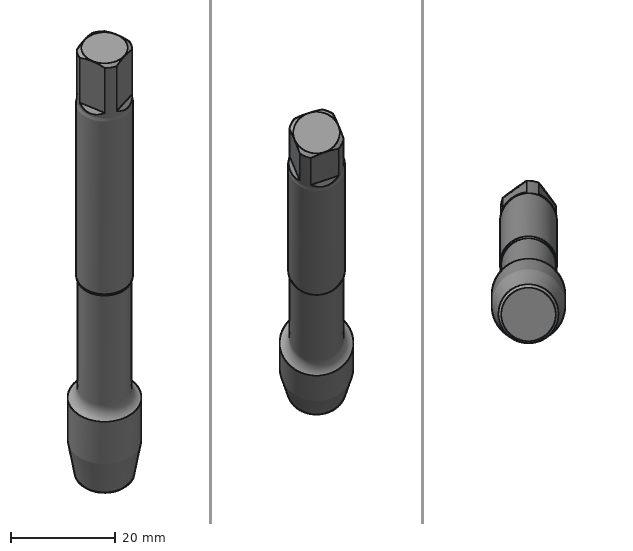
import cadquery as cq
import math

total_length = 110.0

head_diameter = 14.2
head_length = 20.0
taper_length = 9.1
taper_end_diameter = 11.5
tip_diameter = 10.5
tip_chamfer_height = 0.7

neck_diameter = 10.5
shank_diameter = 11.0
shank_bottom = 50.8
step_height = 0.7
neck_fillet_radius = 2.6

drive_diameter = 10.7
drive_length = 13.4
drive_chamfer_height = 0.7
across_flats = 9.0
flat_length = 12.0
top_diameter = 8.9
top_chamfer_height = 0.4

head_radius = head_diameter / 2
neck_radius = neck_diameter / 2
shank_radius = shank_diameter / 2
drive_radius = drive_diameter / 2


def make_head():
    """Revolved cutting head with a conical lead and a chamfered tip."""
    return (
        cq.Workplane("XZ")
        .lineTo(tip_diameter / 2, 0)
        .lineTo(taper_end_diameter / 2, tip_chamfer_height)
        .lineTo(head_radius, taper_length)
        .lineTo(head_radius, head_length)
        .lineTo(0, head_length)
        .close()
        .revolve(360, (0, 0, 0), (0, 1, 0))
    )


def make_round_shank():
    """Revolved shank that flares through a concave arc onto the head."""
    arc_center_radius = neck_radius + neck_fillet_radius
    arc_angle = math.acos((arc_center_radius - head_radius) / neck_fillet_radius)
    flare_top = head_length + neck_fillet_radius * math.sin(arc_angle)
    arc_middle = (
        arc_center_radius - neck_fillet_radius * math.cos(arc_angle / 2),
        flare_top - neck_fillet_radius * math.sin(arc_angle / 2),
    )
    drive_bottom = total_length - drive_length
    return (
        cq.Workplane("XZ")
        .moveTo(0, head_length)
        .lineTo(head_radius, head_length)
        .threePointArc(arc_middle, (neck_radius, flare_top))
        .lineTo(neck_radius, shank_bottom)
        .lineTo(shank_radius, shank_bottom + step_height)
        .lineTo(shank_radius, drive_bottom - drive_chamfer_height)
        .lineTo(drive_radius, drive_bottom)
        .lineTo(drive_radius, total_length - top_chamfer_height)
        .lineTo(top_diameter / 2, total_length)
        .lineTo(0, total_length)
        .close()
        .revolve(360, (0, 0, 0), (0, 1, 0))
    )


def make_flat_cutter():
    """Prism that removes one flat on the +X side, with a 45 degree run-out."""
    flat_distance = across_flats / 2
    flat_bottom = total_length - flat_length
    outside = head_radius
    return (
        cq.Workplane("XZ")
        .moveTo(flat_distance, total_length)
        .lineTo(flat_distance, flat_bottom)
        .lineTo(outside, flat_bottom - (outside - flat_distance))
        .lineTo(outside, total_length)
        .close()
        .extrude(head_radius, both=True)
    )


def make_shank():
    """Round shank with four drive flats cut into its upper end."""
    shank = make_round_shank()
    cutter = make_flat_cutter()
    for angle in (0, 90, 180, 270):
        shank = shank.cut(cutter.rotate((0, 0, 0), (0, 0, 1), angle))
    return shank


head = make_head()
shank = make_shank()

result = cq.Compound.makeCompound([head.val(), *shank.vals()])